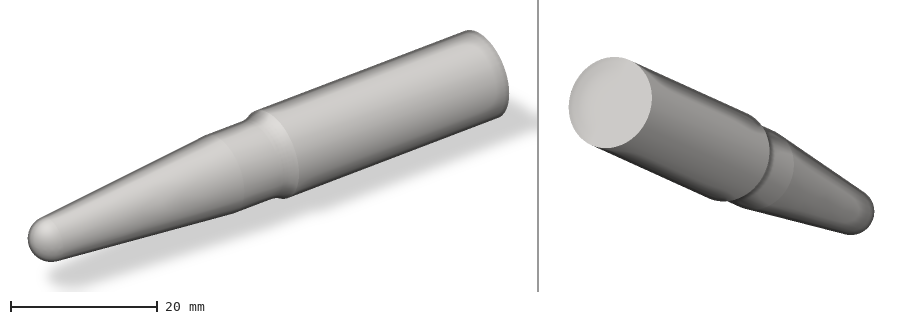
import cadquery as cq
import math

overall_length = 76.2
shank_radius = 12.7 / 2
neck_radius = 11.35 / 2
ball_radius = 3.2

cone_base_y = 31.8
neck_end_y = 37.95
shank_start_y = 40.55

flare_length = shank_start_y - neck_end_y
flare_height = shank_radius - neck_radius
flare_arc_radius = (flare_length**2 + flare_height**2) / (2 * flare_height)
flare_mid_angle = math.asin(flare_length / flare_arc_radius) / 2
flare_mid = (
    neck_radius + flare_arc_radius * (1 - math.cos(flare_mid_angle)),
    neck_end_y + flare_arc_radius * math.sin(flare_mid_angle),
)

ball_center_to_base = cone_base_y - ball_radius
base_edge_distance = math.hypot(ball_center_to_base, neck_radius)
taper_angle = math.atan2(neck_radius, ball_center_to_base) - math.asin(ball_radius / base_edge_distance)


def point_on_ball(angle):
    """Radius and Y of a profile point, at an angle from the ball's equator toward the tip."""
    return ball_radius * math.cos(angle), ball_radius * (1 - math.sin(angle))


def revolve_about_y(profile):
    """Turn a closed half profile (radius, Y) into a solid around the Y axis."""
    return profile.revolve(360, (0, 0, 0), (0, 1, 0))


def make_shank():
    """Round shank with a flare down to the narrower neck."""
    profile = (
        cq.Workplane("XY")
        .moveTo(0, cone_base_y)
        .lineTo(neck_radius, cone_base_y)
        .lineTo(neck_radius, neck_end_y)
        .threePointArc(flare_mid, (shank_radius, shank_start_y))
        .lineTo(shank_radius, overall_length)
        .lineTo(0, overall_length)
        .close()
    )
    return revolve_about_y(profile)


def make_tapered_tip():
    """Cone on the neck face, closed by a tangent ball end."""
    arc_mid_angle = (math.pi / 2 + taper_angle) / 2
    profile = (
        cq.Workplane("XY")
        .moveTo(0, cone_base_y)
        .lineTo(neck_radius, cone_base_y)
        .lineTo(*point_on_ball(taper_angle))
        .threePointArc(point_on_ball(arc_mid_angle), (0, 0))
        .close()
    )
    return revolve_about_y(profile)


shank = make_shank()
tapered_tip = make_tapered_tip()

result = cq.Compound.makeCompound([shank.val(), tapered_tip.val()])